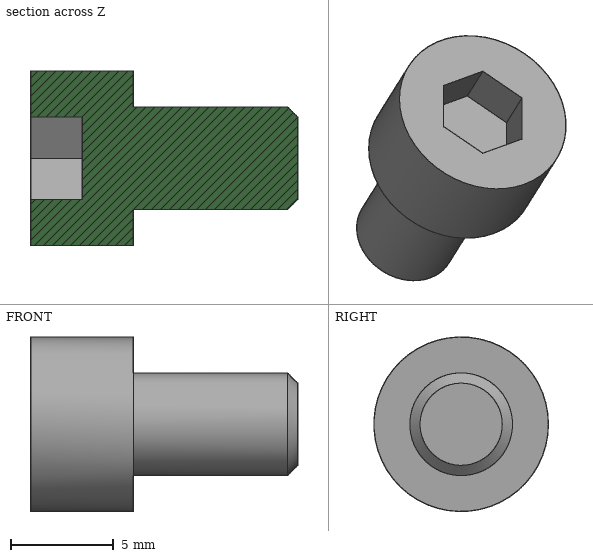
import cadquery as cq
import math

thread_diameter = 5.0
shank_length = 8.0
head_diameter = 8.5
head_height = thread_diameter
socket_sides = 6
socket_across_flats = 4.0
socket_depth = head_height / 2
tip_chamfer = 0.5
quarter_turn = 90.0


def head():
    """Plain cylindrical head, extending from the bearing plane toward -X."""
    return cq.Workplane("YZ").circle(head_diameter / 2).extrude(-head_height)


def shank():
    """Unthreaded cylinder along +X with a chamfered tip."""
    blank = cq.Workplane("YZ").circle(thread_diameter / 2).extrude(shank_length)
    return blank.faces(">X").chamfer(tip_chamfer)


def hex_socket():
    """Hexagonal cutter sunk from the head's outer face, with corners on +Z and -Z."""
    across_corners = socket_across_flats / math.cos(math.pi / socket_sides)
    return (
        cq.Workplane("YZ", origin=(-head_height, 0, 0))
        .transformed(rotate=(0, 0, quarter_turn))
        .polygon(socket_sides, across_corners)
        .extrude(socket_depth)
    )


result = head().union(shank()).cut(hex_socket())